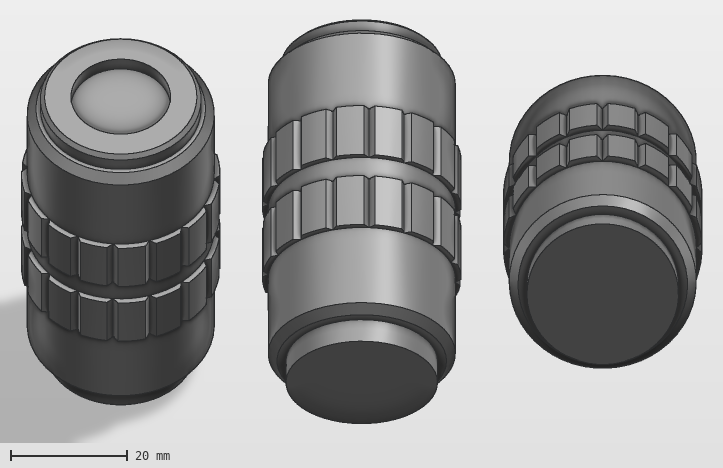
import cadquery as cq
import math

total_height = 65.5
body_diameter = 32.0
body_radius = body_diameter / 2

spigot_radius = 13.0
spigot_height = 4.4

collar_radius = 13.75
collar_height = 3.15
collar_chamfer = 0.7

body_chamfer = 1.5

recess_radius = 8.5
recess_depth = 2.55

ring_diameter = 34.0
ring_radius = ring_diameter / 2
ring_height = 9.95
lower_ring_base = 21.2
ring_gap = 4.3
groove_count = 16
groove_angle = 90.0

body_top = total_height - collar_height


def make_barrel():
    """Revolve the half section of the spigot, body and collar about Z."""
    chamfered_radius = body_radius - body_chamfer
    half_section = [
        (0, 0),
        (spigot_radius, 0),
        (spigot_radius, spigot_height),
        (chamfered_radius, spigot_height),
        (body_radius, spigot_height + body_chamfer),
        (body_radius, body_top - body_chamfer),
        (chamfered_radius, body_top),
        (collar_radius, body_top),
        (collar_radius, total_height - collar_chamfer),
        (collar_radius - collar_chamfer, total_height),
        (0, total_height),
    ]
    return cq.Workplane("XZ").polyline(half_section).close().revolve(360, (0, 0), (0, 1))


def make_groove_cutter():
    """V prism pointing inward along X, with its tip on the body surface."""
    cutter_depth = 2 * (ring_radius - body_radius)
    half_width = cutter_depth * math.tan(math.radians(groove_angle / 2))
    outer_x = body_radius + cutter_depth
    tip_and_mouth = [(body_radius, 0), (outer_x, -half_width), (outer_x, half_width)]
    return cq.Workplane("XY").polyline(tip_and_mouth).close().extrude(ring_height)


def make_grip_ring():
    """Ring blank with evenly spaced grooves, the first one on the X axis."""
    ring = cq.Workplane("XY").circle(ring_radius).extrude(ring_height)
    cutter = make_groove_cutter()
    for index in range(groove_count):
        angle = index * 360 / groove_count
        ring = ring.cut(cutter.rotate((0, 0, 0), (0, 0, 1), angle))
    return ring


barrel = make_barrel()
grip_ring = make_grip_ring()
upper_ring_base = lower_ring_base + ring_height + ring_gap
for ring_base in (lower_ring_base, upper_ring_base):
    barrel = barrel.union(grip_ring.translate((0, 0, ring_base)))

recess = (
    cq.Workplane("XY")
    .workplane(offset=total_height - recess_depth)
    .circle(recess_radius)
    .extrude(recess_depth)
)
result = barrel.cut(recess)